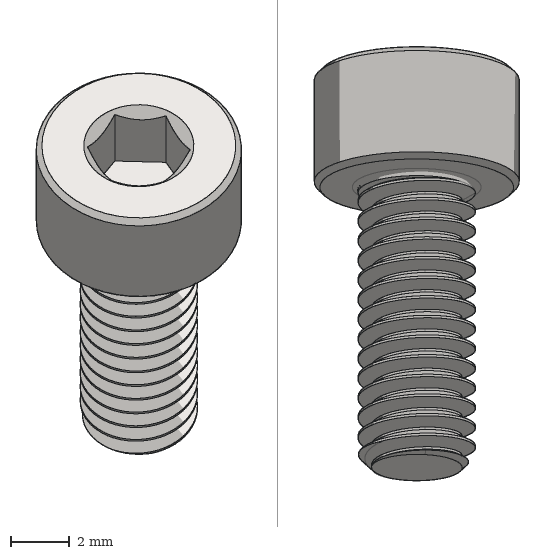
import cadquery as cq
import math


total_length = 14.0
head_radius = 3.5
head_height = 4.0
head_chamfer = 0.2
shank_radius = 2.0
neck_fillet = 0.2
thread_pitch = 0.7
crest_angle = 58.0
socket_flats = 3.02
socket_depth = 2.5
socket_mouth_radius = 1.88
socket_mouth_slope = 45.0
flank_slope = 30.0
ridge_overlap = 0.01
envelope_margin = 0.14
spare_turns = 2

shank_length = total_length - head_height
flank_rise = math.tan(math.radians(flank_slope))
crest_flat = thread_pitch / 8
root_flat = crest_flat
thread_depth = (thread_pitch - crest_flat - root_flat) / 2 / flank_rise
root_radius = shank_radius - thread_depth


def make_head():
    head = cq.Workplane("XY").circle(head_radius).extrude(head_height)
    return head.edges("%CIRCLE").chamfer(head_chamfer)


def make_socket():
    corner_diameter = socket_flats / math.cos(math.radians(30))
    hexagon = (
        cq.Workplane("XY", origin=(0, 0, head_height))
        .transformed(rotate=(0, 0, 90))
        .polygon(6, corner_diameter)
        .extrude(-socket_depth)
    )
    mouth_depth = socket_mouth_radius * math.tan(math.radians(socket_mouth_slope))
    mouth = (
        cq.Workplane("XZ")
        .moveTo(0, head_height)
        .lineTo(socket_mouth_radius, head_height)
        .lineTo(0, head_height - mouth_depth)
        .close()
        .revolve(360, (0, 0), (0, 1))
    )
    return hexagon.union(mouth)


def make_thread_ridge():
    height = (math.ceil(shank_length / thread_pitch) + 2 * spare_turns) * thread_pitch
    start_z = -shank_length - spare_turns * thread_pitch
    base_radius = root_radius - ridge_overlap
    crest_half = crest_flat / 2
    base_half = crest_half + (shank_radius - base_radius) * flank_rise
    path = cq.Wire.makeHelix(thread_pitch, height, base_radius)
    ridge = (
        cq.Workplane("XZ")
        .moveTo(base_radius, -base_half)
        .lineTo(base_radius, base_half)
        .lineTo(shank_radius, crest_half)
        .lineTo(shank_radius, -crest_half)
        .close()
        .sweep(cq.Workplane(obj=path), isFrenet=True)
    )
    return ridge.rotate((0, 0, 0), (0, 0, 1), crest_angle).translate((0, 0, start_z))


def make_threaded_shank():
    core_bottom = -shank_length - 2 * spare_turns * thread_pitch
    core = (
        cq.Workplane("XY", origin=(0, 0, core_bottom))
        .circle(root_radius)
        .extrude(head_height - core_bottom)
    )
    envelope = (
        cq.Workplane("XY")
        .circle(shank_radius + envelope_margin)
        .extrude(-shank_length)
        .faces("<Z")
        .chamfer(thread_depth + envelope_margin)
    )
    return core.union(make_thread_ridge()).intersect(envelope)


def make_neck():
    cone_tip = -neck_fillet - shank_radius * flank_rise
    fillet_middle = neck_fillet * (1 - math.sqrt(0.5))
    return (
        cq.Workplane("XZ")
        .lineTo(shank_radius + neck_fillet, 0)
        .threePointArc(
            (shank_radius + fillet_middle, -fillet_middle),
            (shank_radius, -neck_fillet),
        )
        .lineTo(0, cone_tip)
        .close()
        .revolve(360, (0, 0), (0, 1))
    )


screw_head = make_head().cut(make_socket())
result = make_threaded_shank().union(make_neck()).union(screw_head)